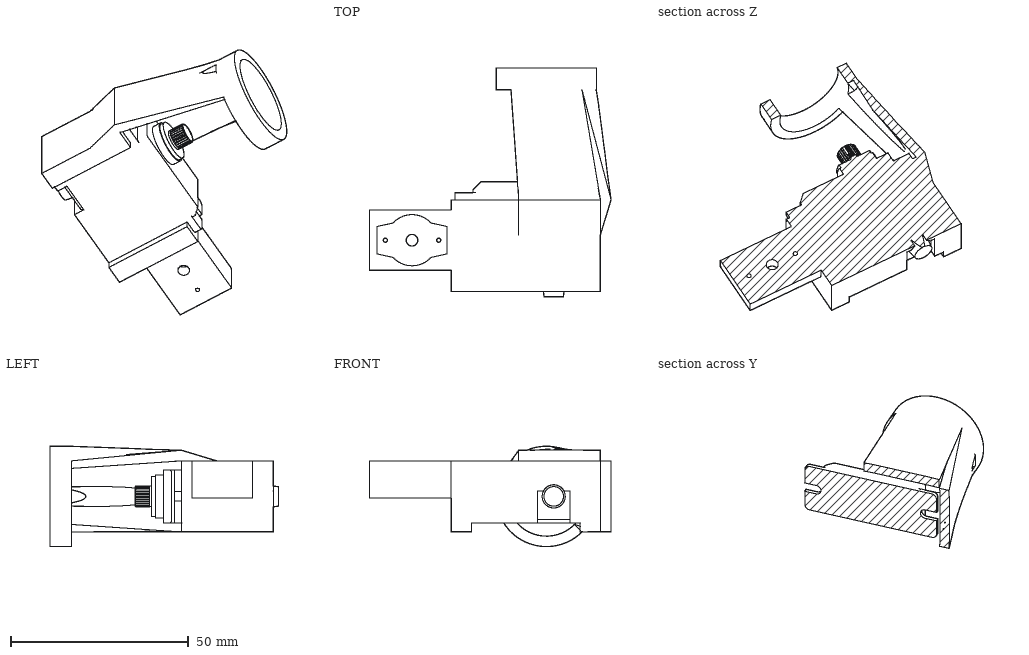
import cadquery as cq
import math

BODY_LEFT = 23.0
BODY_RIGHT = 65.0
BODY_DEPTH = 25.8
BODY_HEIGHT = 20.0
MID_HEIGHT = BODY_HEIGHT / 2

CHANNEL_LEFT = 28.75
CHANNEL_WIDTH = 30.5
CHANNEL_HEIGHT = 2.5

ARM_FRONT = 5.95
ARM_WIDTH = 17.0
ARM_HEIGHT = 10.5
HORN_X = 12.0
HORN_Y = ARM_FRONT + ARM_WIDTH / 2
HORN_POCKET_DEPTH = 6.0
HORN_HUB_RADIUS = 7.2
HORN_HALF_LENGTH = 9.87
HORN_TIP_HALF_WIDTH = 3.84
HORN_NECK_X = 5.33
HORN_NECK_HALF_WIDTH = math.sqrt(HORN_HUB_RADIUS**2 - HORN_NECK_X**2)
HORN_SCREW_DIAMETER = 3.2
HORN_FIXING_DIAMETER = 1.1
HORN_FIXING_OFFSET = 7.5

RING_X = 49.8
RING_OUTER_RADIUS = 14.15
RING_INNER_RADIUS = 11.15
RING_FRONT = 56.75
RING_THICKNESS = 6.15

NECK_LEFT = 42.0
NECK_RISE = 3.0
NECK_OVERHANG = 3.0
RAMP_FRONT = 15.9
GROOVE_X = 61.62
GROOVE_RADIUS = 2.85

SERVO_CENTER_X = CHANNEL_LEFT + CHANNEL_WIDTH / 2
SERVO_WIDTH = 15.0
EAR_LENGTH = 39.9
EAR_THICKNESS = 2.06
EAR_CORNER_RADIUS = 1.5
EAR_SLOT_WIDTH = 2.7
EAR_SLOT_LENGTH = 3.5
CASE_LENGTH = 29.8
CASE_REACH = 5.14
CASE_CORNER_RADIUS = 0.75
CASE_CHAMFER = 2.3
HUB_STEPS = ((6.05, 7.36), (5.65, 8.44), (2.9, 9.0))
SPLINE_RADIUS = 2.95
SPLINE_ROOT_RADIUS = 2.65
SPLINE_REACH = 13.15
SPLINE_TEETH = 25
SPLINE_CHAMFER = 0.3

PIN_X = 51.85
PIN_TIP_RADIUS = 2.75
PIN_ROOT_RADIUS = 3.25
PIN_CLEARANCE_RADIUS = 3.3
PIN_PROTRUSION = 1.5
RECESS_WIDTH = 9.05
RECESS_TOP = 11.5
RECESS_DEPTH = 2.1
RECESS_CHAMFER = 1.0


def box(left, front, bottom, width, depth, height):
    """Box given by its lowest corner and its sizes."""
    return cq.Workplane("XY").box(width, depth, height, centered=False).translate((left, front, bottom))


def plane_facing_back(x, y):
    """Plane at mid height whose normal is +Y and whose local Y is +Z."""
    return cq.Workplane(cq.Plane(origin=(x, y, MID_HEIGHT), xDir=(-1, 0, 0), normal=(0, 1, 0)))


def rod(x, start, end, radius):
    """Cylinder along Y at mid height."""
    return plane_facing_back(x, start).circle(radius).extrude(end - start)


def make_body():
    block = box(BODY_LEFT, 0, 0, BODY_RIGHT - BODY_LEFT, BODY_DEPTH, BODY_HEIGHT)
    channel = box(CHANNEL_LEFT, 0, 0, CHANNEL_WIDTH, BODY_DEPTH, CHANNEL_HEIGHT)
    return block.cut(channel)


def make_arm():
    arm = box(0, ARM_FRONT, BODY_HEIGHT - ARM_HEIGHT, BODY_LEFT, ARM_WIDTH, ARM_HEIGHT)
    top = cq.Workplane("XY").workplane(offset=BODY_HEIGHT).center(HORN_X, HORN_Y)
    pocket = (
        top.moveTo(-HORN_HALF_LENGTH, -HORN_TIP_HALF_WIDTH)
        .lineTo(-HORN_NECK_X, -HORN_NECK_HALF_WIDTH)
        .threePointArc((0, -HORN_HUB_RADIUS), (HORN_NECK_X, -HORN_NECK_HALF_WIDTH))
        .lineTo(HORN_HALF_LENGTH, -HORN_TIP_HALF_WIDTH)
        .lineTo(HORN_HALF_LENGTH, HORN_TIP_HALF_WIDTH)
        .lineTo(HORN_NECK_X, HORN_NECK_HALF_WIDTH)
        .threePointArc((0, HORN_HUB_RADIUS), (-HORN_NECK_X, HORN_NECK_HALF_WIDTH))
        .lineTo(-HORN_HALF_LENGTH, HORN_TIP_HALF_WIDTH)
        .close()
        .extrude(-HORN_POCKET_DEPTH)
    )
    screw_hole = top.circle(HORN_SCREW_DIAMETER / 2).extrude(-ARM_HEIGHT)
    fixing_holes = (
        top.pushPoints([(-HORN_FIXING_OFFSET, 0), (HORN_FIXING_OFFSET, 0)])
        .circle(HORN_FIXING_DIAMETER / 2)
        .extrude(-ARM_HEIGHT)
    )
    return arm.cut(pocket).cut(screw_hole).cut(fixing_holes)


def make_ramps():
    """Wedges on the top and the right side of the body that grow toward the neck."""
    top_ramp = (
        cq.Workplane("YZ", origin=(NECK_LEFT, 0, BODY_HEIGHT))
        .polyline([(RAMP_FRONT, 0), (BODY_DEPTH, 0), (BODY_DEPTH, NECK_RISE)])
        .close()
        .extrude(BODY_RIGHT - NECK_LEFT)
    )
    side_ramp = (
        cq.Workplane("XY")
        .polyline([
            (BODY_RIGHT, RAMP_FRONT),
            (BODY_RIGHT + NECK_OVERHANG, BODY_DEPTH),
            (BODY_RIGHT, BODY_DEPTH),
        ])
        .close()
        .extrude(BODY_HEIGHT)
    )
    return top_ramp.union(side_ramp)


def ring_point(radius, angle):
    """Point on the ring's front face; the angle is in degrees from +X toward +Z."""
    turn = math.radians(angle)
    return cq.Vector(
        RING_X + radius * math.cos(turn), RING_FRONT, MID_HEIGHT + radius * math.sin(turn)
    )


def ring_arc(radius, start, end):
    """Arc on the ring's front face."""
    angles = (start, (start + end) / 2, end)
    return cq.Edge.makeThreePointArc(*[ring_point(radius, angle) for angle in angles])


def neck_half(rectangle, start, end):
    """Ruled solid from a rectangle on the back face to a quarter of the ring.

    The rectangle's (X, Z) corners go outer start, outer end, inner end, inner start.
    """
    corners = [cq.Vector(x, BODY_DEPTH, z) for x, z in rectangle]
    foot = cq.Wire.makePolygon(corners, close=True)
    quarter = cq.Wire.assembleEdges([
        ring_arc(RING_OUTER_RADIUS, start, end),
        cq.Edge.makeLine(ring_point(RING_OUTER_RADIUS, end), ring_point(RING_INNER_RADIUS, end)),
        ring_arc(RING_INNER_RADIUS, end, start),
        cq.Edge.makeLine(ring_point(RING_INNER_RADIUS, start), ring_point(RING_OUTER_RADIUS, start)),
    ])
    return cq.Workplane(obj=cq.Solid.makeLoft([foot, quarter], True))


def make_neck():
    top_of_neck = BODY_HEIGHT + NECK_RISE
    right_of_neck = BODY_RIGHT + NECK_OVERHANG
    top_half = neck_half(
        [
            (NECK_LEFT, top_of_neck),
            (BODY_RIGHT, top_of_neck),
            (BODY_RIGHT, BODY_HEIGHT),
            (NECK_LEFT, BODY_HEIGHT),
        ],
        135,
        45,
    )
    side_half = neck_half(
        [
            (right_of_neck, BODY_HEIGHT),
            (right_of_neck, 0),
            (BODY_RIGHT, 0),
            (BODY_RIGHT, BODY_HEIGHT),
        ],
        45,
        -45,
    )
    groove = rod(GROOVE_X, BODY_DEPTH, RING_FRONT, GROOVE_RADIUS)
    return top_half.union(side_half.cut(groove))


def make_ring():
    ring_back = RING_FRONT + RING_THICKNESS
    outside = rod(RING_X, RING_FRONT, ring_back, RING_OUTER_RADIUS)
    return outside.cut(rod(RING_X, RING_FRONT, ring_back, RING_INNER_RADIUS))


def make_spline():
    """Toothed output shaft of the servo."""
    start = BODY_DEPTH + HUB_STEPS[-1][1]
    length = BODY_DEPTH + SPLINE_REACH - start
    outline = []
    for tooth in range(SPLINE_TEETH):
        for half_step, radius in ((0, SPLINE_RADIUS), (1, SPLINE_ROOT_RADIUS)):
            turn = math.pi * (2 * tooth + half_step) / SPLINE_TEETH
            outline.append((radius * math.cos(turn), radius * math.sin(turn)))
    teeth = plane_facing_back(RING_X, start).polyline(outline).close().extrude(length)
    blank = rod(RING_X, start, start + length, SPLINE_RADIUS).faces(">Y").chamfer(SPLINE_CHAMFER)
    return teeth.intersect(blank)


def make_servo():
    back = plane_facing_back(SERVO_CENTER_X, BODY_DEPTH)
    ears = back.rect(EAR_LENGTH, SERVO_WIDTH).extrude(EAR_THICKNESS)
    ears = ears.edges("|Y").fillet(EAR_CORNER_RADIUS)
    slot_center = EAR_LENGTH / 2 - EAR_SLOT_LENGTH / 2
    slots = (
        back.pushPoints([(-slot_center, 0), (slot_center, 0)])
        .slot2D(EAR_SLOT_LENGTH + EAR_SLOT_WIDTH, EAR_SLOT_WIDTH)
        .extrude(EAR_THICKNESS)
    )
    case = back.rect(CASE_LENGTH, SERVO_WIDTH).extrude(CASE_REACH)
    case = case.edges("|Y").fillet(CASE_CORNER_RADIUS)
    case_left = SERVO_CENTER_X - CASE_LENGTH / 2
    case_back = BODY_DEPTH + CASE_REACH
    corner = (
        cq.Workplane("XY")
        .polyline([
            (case_left, case_back - CASE_CHAMFER),
            (case_left + CASE_CHAMFER, case_back),
            (case_left, case_back),
        ])
        .close()
        .extrude(BODY_HEIGHT)
    )
    servo = ears.cut(slots).union(case.cut(corner))
    for radius, reach in HUB_STEPS:
        servo = servo.union(rod(RING_X, BODY_DEPTH, BODY_DEPTH + reach, radius))
    return servo.union(make_spline())


def make_recess():
    """Cutter for the front recess: a slot open to the channel, sloped at its lower back edge."""
    slot = (
        cq.Workplane("YZ", origin=(PIN_X - RECESS_WIDTH / 2, 0, 0))
        .polyline([
            (0, CHANNEL_HEIGHT),
            (0, RECESS_TOP),
            (RECESS_DEPTH, RECESS_TOP),
            (RECESS_DEPTH, CHANNEL_HEIGHT + RECESS_CHAMFER),
            (RECESS_DEPTH + RECESS_CHAMFER, CHANNEL_HEIGHT),
        ])
        .close()
        .extrude(RECESS_WIDTH)
    )
    return slot.union(rod(PIN_X, 0, RECESS_DEPTH, PIN_CLEARANCE_RADIUS))


def make_pin():
    length = PIN_PROTRUSION + RECESS_DEPTH
    tip = cq.Vector(PIN_X, -PIN_PROTRUSION, MID_HEIGHT)
    cone = cq.Solid.makeCone(PIN_TIP_RADIUS, PIN_ROOT_RADIUS, length, tip, cq.Vector(0, 1, 0))
    return cq.Workplane(obj=cone)


result = make_body().cut(make_recess())
for feature in (make_arm(), make_ramps(), make_servo(), make_neck(), make_ring(), make_pin()):
    result = result.union(feature)